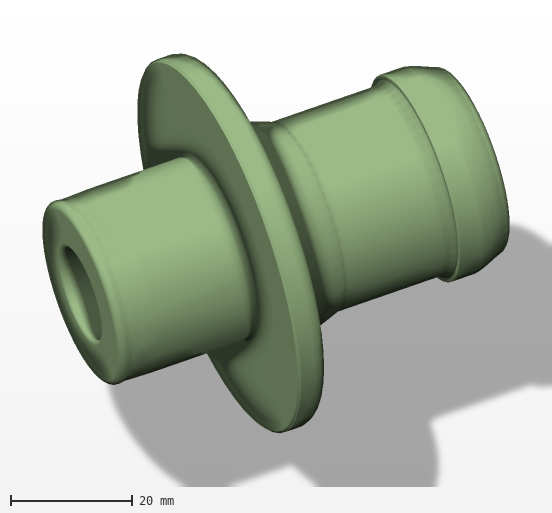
import cadquery as cq

rear_y = 45.95
front_y = rear_y - 70.8

flange_radius = 32.5
flange_thickness = 5.45
flange_round = 2.5
flange_chamfer = 0.4

barb_radius = 18.05
barb_face_radius = 14.95
barb_nose_radius = 16.4
barb_nose_length = 1.35
barb_cone_radius = 17.5
barb_cone_length = 2.6
barb_crown_length = 2.1
barb_length = 10.1
barb_corner = 0.2
neck_radius = 16.6
barb_root_radius = 17.3
barb_root_length = 1.8
collar_radius = barb_radius
collar_cone_start_y = 15.65
collar_cone_top_y = 11.7
collar_cone_top_radius = 17.9
collar_crown_length = 0.65
collar_fillet = 2.55

spigot_radius = 16.0
relief_radius = 15.85
relief_fillet = 0.65
relief_land = 0.2
relief_ramp = 0.5
bulge_start_y = -17.9
groove_rear_y = -22.5
groove_land = 0.3
spigot_nose_radius = 1.1
lip_length = 0.15

bore_front_radius = 8.1
bore_rear_radius = 6.95
bore_mouth_round = 0.8

quarter_arc = 0.5 ** 0.5


def add_hose_tail(outline):
    """Draw from the rear face of the barb to the foot of the collar fillet."""
    nose_y = rear_y - barb_nose_length
    cone_y = nose_y - barb_cone_length
    crown_y = cone_y - barb_crown_length
    barb_end_y = rear_y - barb_length
    root_y = barb_end_y - barb_corner
    collar_crown_y = collar_cone_top_y - collar_crown_length
    flange_rear_y = flange_thickness
    return (
        outline.lineTo(barb_face_radius, rear_y)
        .tangentArcPoint((barb_nose_radius, nose_y), relative=False)
        .lineTo(barb_cone_radius, cone_y)
        .tangentArcPoint((barb_radius, crown_y), relative=False)
        .lineTo(barb_radius, barb_end_y)
        .tangentArcPoint((barb_radius - barb_corner, root_y), relative=False)
        .lineTo(barb_root_radius, root_y)
        .radiusArc((neck_radius, root_y - barb_root_length), -barb_root_length * 1.5)
        .lineTo(neck_radius, collar_cone_start_y)
        .lineTo(collar_cone_top_radius, collar_cone_top_y)
        .tangentArcPoint((collar_radius, collar_crown_y), relative=False)
        .lineTo(collar_radius, flange_rear_y + collar_fillet)
        .tangentArcPoint((collar_radius + collar_fillet, flange_rear_y), relative=False)
    )


def add_flange(outline):
    """Draw the rounded rear rim and the chamfered front rim."""
    return (
        outline.lineTo(flange_radius - flange_round, flange_thickness)
        .tangentArcPoint((flange_radius, flange_thickness - flange_round), relative=False)
        .lineTo(flange_radius, flange_chamfer)
        .lineTo(flange_radius - flange_chamfer, 0)
    )


def add_spigot(outline):
    """Draw from the flange face to the front face of the spigot."""
    land_end_y = -relief_fillet - relief_land
    nose_y = front_y + spigot_nose_radius
    return (
        outline.lineTo(relief_radius + relief_fillet, 0)
        .tangentArcPoint((relief_radius, -relief_fillet), relative=False)
        .lineTo(relief_radius, land_end_y)
        .lineTo(spigot_radius, land_end_y - relief_ramp)
        .lineTo(spigot_radius, bulge_start_y)
        .tangentArcPoint((relief_radius, groove_rear_y), relative=False)
        .lineTo(relief_radius, groove_rear_y - groove_land)
        .lineTo(spigot_radius, nose_y + lip_length)
        .lineTo(spigot_radius, nose_y)
        .tangentArcPoint((spigot_radius - spigot_nose_radius, front_y), relative=False)
    )


def add_bore(outline):
    """Draw the rounded mouth and the taper, back to the rear face."""
    mouth_mid = bore_mouth_round * (1 - quarter_arc)
    return (
        outline.lineTo(bore_front_radius + bore_mouth_round, front_y)
        .threePointArc(
            (bore_front_radius + mouth_mid, front_y + mouth_mid),
            (bore_front_radius, front_y + bore_mouth_round),
        )
        .close()
    )


outline = cq.Workplane("XY").moveTo(bore_rear_radius, rear_y)
outline = add_hose_tail(outline)
outline = add_flange(outline)
outline = add_spigot(outline)
outline = add_bore(outline)

result = outline.revolve(360, (0, 0, 0), (0, 1, 0))